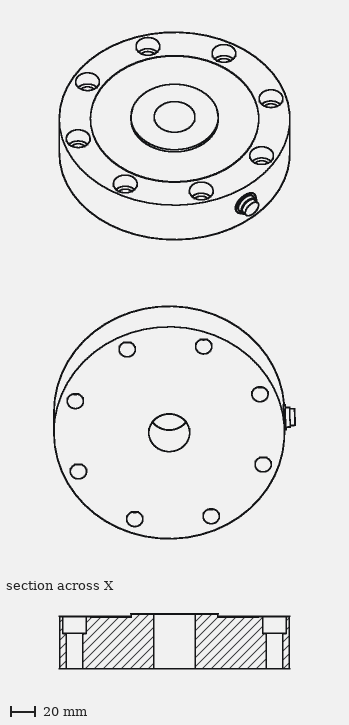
import cadquery as cq
import math

housing_diameter = 185.0
housing_radius = housing_diameter / 2
overall_length = 188.2
total_height = 44.0
rim_height = 42.0
recess_diameter = 135.0
recess_depth = 0.5
boss_diameter = 70.0
bore_diameter = 32.8

bolt_count = 8
bolt_circle_radius = 80.2
bolt_hole_diameter = 13.0
counterbore_diameter = 19.0
counterbore_depth = 13.5

connector_angle = 22.5
connector_height = 22.5
flange_diameter = 20.0
collar_diameter = 16.0
tip_diameter = 13.5
seat_distance = 90.4
flange_end = 93.4
collar_end = 97.0
connector_reach_x = overall_length - housing_radius
angle_radians = math.radians(connector_angle)
tip_end = (
    connector_reach_x - tip_diameter / 2 * math.sin(angle_radians)
) / math.cos(angle_radians)


def cylinder(diameter, bottom, top):
    """Vertical cylinder on the housing axis."""
    return cq.Workplane("XY").workplane(offset=bottom).circle(diameter / 2).extrude(top - bottom)


def radial_cylinder(diameter, start, end):
    """Cylinder on the connector axis between two distances from the housing axis."""
    direction = cq.Vector(math.cos(angle_radians), math.sin(angle_radians), 0)
    origin = direction * start + cq.Vector(0, 0, connector_height)
    plane = cq.Plane(origin=origin, xDir=(0, 0, 1), normal=direction)
    return cq.Workplane(plane).circle(diameter / 2).extrude(end - start)


def bolt_holes(diameter, bottom):
    """Cutting cylinders around the bolt circle, from the given height up to the rim."""
    return (
        cq.Workplane("XY")
        .workplane(offset=bottom)
        .polarArray(bolt_circle_radius, 0, 360, bolt_count)
        .circle(diameter / 2)
        .extrude(rim_height - bottom)
    )


def make_housing():
    recess_floor = rim_height - recess_depth
    body = cylinder(housing_diameter, 0, rim_height)
    body = body.cut(cylinder(recess_diameter, recess_floor, rim_height))
    body = body.union(cylinder(boss_diameter, recess_floor, total_height))
    body = body.cut(cylinder(bore_diameter, 0, total_height))

    body = body.cut(bolt_holes(bolt_hole_diameter, 0))
    body = body.cut(bolt_holes(counterbore_diameter, rim_height - counterbore_depth))

    return body.cut(radial_cylinder(flange_diameter, seat_distance, flange_end))


def make_connector():
    flange = radial_cylinder(flange_diameter, seat_distance, flange_end)
    collar = radial_cylinder(collar_diameter, flange_end, collar_end)
    tip = radial_cylinder(tip_diameter, collar_end, tip_end)
    return flange.union(collar).union(tip)


housing = make_housing()
connector = make_connector()

result = cq.Compound.makeCompound([housing.solids().val(), connector.solids().val()])